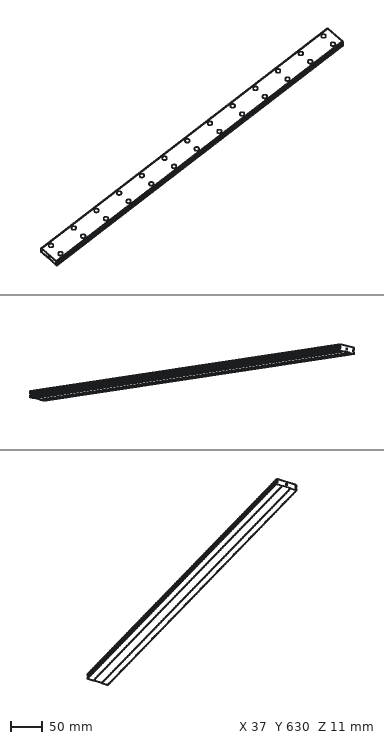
import cadquery as cq

rail_width = 37.0
rail_length = 630
rail_height = 11.0

track_width = 1.5
track_height = 1.6
track_root_inset = 1.1

groove_depth = 2.2
groove_lower_lip = 2.5
groove_floor_bottom = 4.7
groove_floor_top = 6.0
groove_upper_lip = 7.0

channel_width = 15.0
channel_depth = 0.5

holes_per_row = 13
row_spacing = 22.0
end_margin = 15.0
hole_pitch = (rail_length - 2 * end_margin) / (holes_per_row - 1)
recess_diameter = 7.5
recess_depth = 0.2

end_hole_diameter = 2.5
end_hole_depth = 7.5


def make_rail():
    """Extrude the symmetric cross-section along Y, centred on the origin."""
    half_width = rail_width / 2
    half_channel = channel_width / 2
    groove_x = half_width - groove_depth
    right_side = [
        (half_channel, channel_depth),
        (half_channel, 0),
        (half_width, 0),
        (half_width, groove_lower_lip),
        (groove_x, groove_floor_bottom),
        (groove_x, groove_floor_top),
        (half_width, groove_upper_lip),
        (half_width, rail_height - track_height),
        (half_width - track_root_inset, rail_height - track_root_inset),
        (half_width - track_width, rail_height),
    ]
    left_side = [(-x, z) for x, z in reversed(right_side)]
    return (
        cq.Workplane("XZ")
        .polyline(right_side + left_side)
        .close()
        .extrude(rail_length / 2, both=True)
    )


def make_top_recesses():
    """Discs to be removed from the top face."""
    return (
        cq.Workplane("XY")
        .workplane(offset=rail_height - recess_depth)
        .rarray(row_spacing, hole_pitch, 2, holes_per_row)
        .circle(recess_diameter / 2)
        .extrude(recess_depth)
    )


def cut_end_holes(body):
    """Drill one blind hole into each end face."""
    for end_face in ("<Y", ">Y"):
        body = (
            body.faces(end_face)
            .workplane(origin=(0, 0, rail_height / 2))
            .hole(end_hole_diameter, end_hole_depth)
        )
    return body


result = cut_end_holes(make_rail().cut(make_top_recesses()))